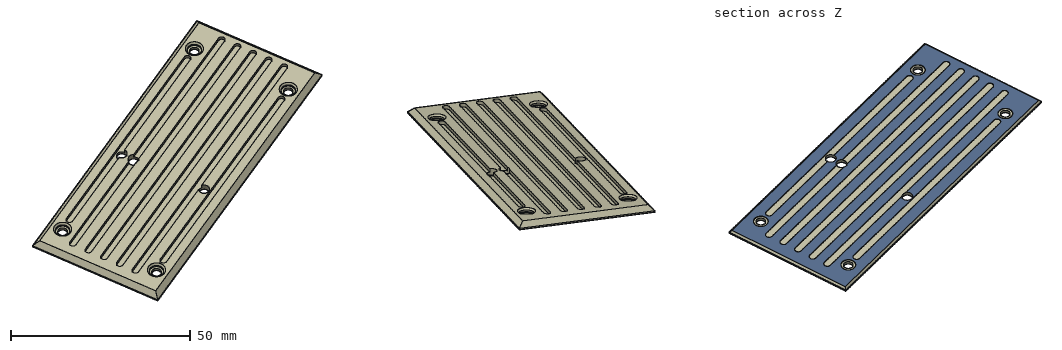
import cadquery as cq

length = 93.5
width = 40.0
thickness = 2.0
edge_bevel = 1.5

groove_pitch = 5.0
groove_width = 2.0
groove_depth = 1.0
inner_groove_count = 5
inner_groove_length = 86.6
inner_groove_y = 0.75
outer_groove_length = 69.0
outer_groove_x = 3 * groove_pitch

screw_spacing_y = 75.0
screw_pattern_y = -1.0
screw_hole_diameter = 2.7
seat_diameter = 4.0
sink_diameter = 5.05
seat_depth = 1.0

pin_hole_diameter = 3.0
pin_row_y = -6.5
pin_hole_xs = (-14.0, -10.3, 12.25)


def make_plate():
    """Plate with its base at Z = 0 and the upper rim bevelled."""
    blank = cq.Workplane("XY").box(width, length, thickness, centered=(True, True, False))
    return blank.faces(">Z").edges().chamfer(edge_bevel)


def make_grooves(xs, y, groove_length):
    """Round-ended groove cutters running along Y."""
    return (
        cq.Workplane("XY", origin=(0, 0, thickness))
        .pushPoints([(x, y) for x in xs])
        .slot2D(groove_length, groove_width, 90)
        .extrude(-groove_depth)
    )


def make_screw_hole(x, y):
    """Cutter with a conical mouth, a flat seat and a through hole."""
    sink_depth = (sink_diameter - seat_diameter) / 2
    profile = [
        (0, 0),
        (screw_hole_diameter / 2, 0),
        (screw_hole_diameter / 2, thickness - seat_depth),
        (seat_diameter / 2, thickness - seat_depth),
        (seat_diameter / 2, thickness - sink_depth),
        (sink_diameter / 2, thickness),
        (0, thickness),
    ]
    cutter = cq.Workplane("XZ").polyline(profile).close().revolve(360, (0, 0), (0, 1))
    return cutter.translate((x, y, 0))


inner_groove_xs = [
    (i - (inner_groove_count - 1) / 2) * groove_pitch for i in range(inner_groove_count)
]
outer_groove_xs = [-outer_groove_x, outer_groove_x]

result = make_plate()
result = result.cut(make_grooves(inner_groove_xs, inner_groove_y, inner_groove_length))
result = result.cut(make_grooves(outer_groove_xs, screw_pattern_y, outer_groove_length))

for screw_x in outer_groove_xs:
    for side in (-1, 1):
        screw_y = screw_pattern_y + side * screw_spacing_y / 2
        result = result.cut(make_screw_hole(screw_x, screw_y))

pin_holes = (
    cq.Workplane("XY")
    .pushPoints([(x, pin_row_y) for x in pin_hole_xs])
    .circle(pin_hole_diameter / 2)
    .extrude(thickness)
)
result = result.cut(pin_holes)